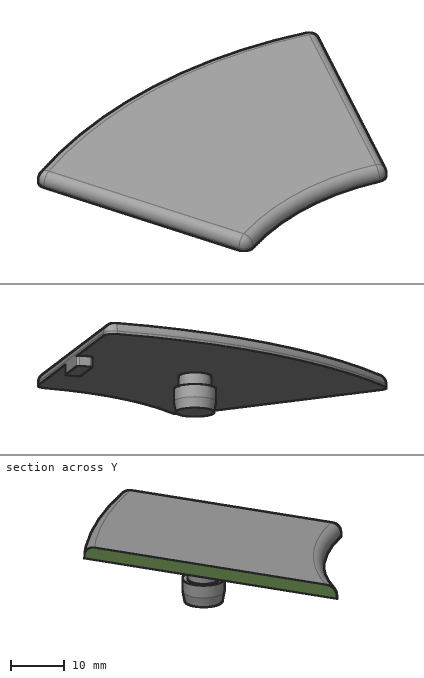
import cadquery as cq
import math

outer_radius = 90.0
inner_radius = outer_radius / 2
sector_angle = 45.0
plate_thickness = 2.6
edge_radius = 2.0

stem_diameter = 6.1
collar_diameter = 7.9
tip_diameter = 7.2
stem_length = 2.45
collar_length = 2.45
tip_length = 2.0

tab_length = 8.0
tab_width = 3.0
tab_height = 1.95
tab_corner_radius = 0.45

middle_radius = (outer_radius + inner_radius) / 2


def ring_point(radius, angle):
    """Point at an angle in degrees, measured from -X towards -Y."""
    turn = math.radians(angle)
    return (-radius * math.cos(turn), -radius * math.sin(turn))


def make_plate():
    half_angle = sector_angle / 2
    plate = (
        cq.Workplane("XY")
        .moveTo(*ring_point(inner_radius, 0))
        .lineTo(*ring_point(outer_radius, 0))
        .threePointArc(ring_point(outer_radius, half_angle), ring_point(outer_radius, sector_angle))
        .lineTo(*ring_point(inner_radius, sector_angle))
        .threePointArc(ring_point(inner_radius, half_angle), ring_point(inner_radius, 0))
        .close()
        .extrude(plate_thickness)
    )
    return plate.edges("|Z").fillet(edge_radius).faces(">Z").edges().fillet(edge_radius)


def make_pin():
    stem_radius = stem_diameter / 2
    collar_radius = collar_diameter / 2
    collar_top = -stem_length
    collar_bottom = collar_top - collar_length
    tip_bottom = collar_bottom - tip_length
    profile = [
        (0, 0),
        (stem_radius, 0),
        (stem_radius, collar_top),
        (collar_radius, collar_top),
        (collar_radius, collar_bottom),
        (tip_diameter / 2, tip_bottom),
        (0, tip_bottom),
    ]
    pin = cq.Workplane("XZ").polyline(profile).close().revolve(360, (0, 0), (0, 1))
    return pin.translate((*ring_point(middle_radius, sector_angle / 2), 0))


def make_tab():
    return (
        cq.Workplane("XY")
        .center(-middle_radius, -tab_width / 2)
        .rect(tab_length, tab_width)
        .extrude(-tab_height)
        .edges("|Z")
        .fillet(tab_corner_radius)
    )


result = make_plate().union(make_pin()).union(make_tab())